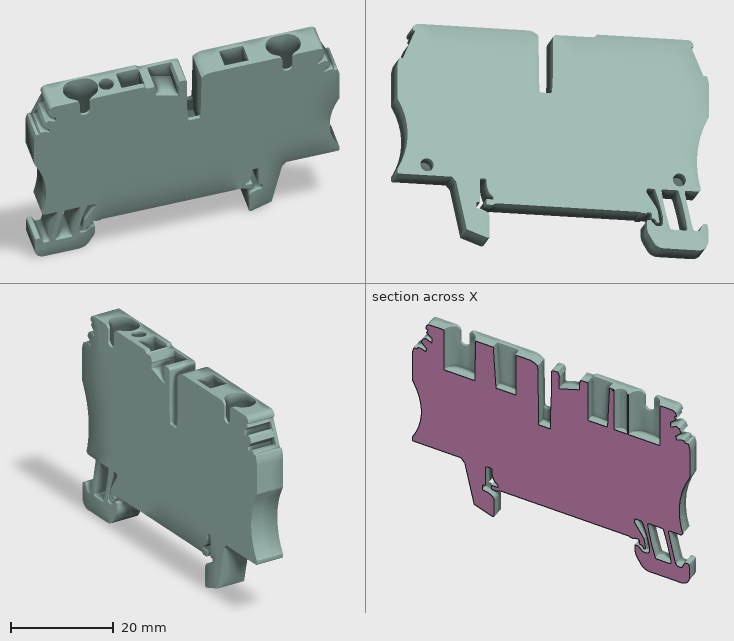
import math

import cadquery as cq

WIDTH = 6.1
HALF_LENGTH = 61.99 / 2
TOP_Z = 42.6
LEDGE_Z = 42.0
BODY_BOTTOM_Z = 11.95
RAIL_Z = 7.1
SPRING_BASE_Z = 3.9
MID_X = WIDTH / 2

FIXED_TOE_Y = 12.65
FIXED_ARM_Y = 14.55
FIXED_CATCH_Y = 15.3
SPRUNG_TOE_Y = 18.65
SPRUNG_HEEL_Y = 30.85

LIP_Y = 28.0
LIP_Z = 41.15
SLOPE_TOP = (27.5, 41.05)
SLOPE_FOOT = (29.95, 35.35)
SHOULDER_Z = 35.5
END_TOP_Z = 34.1
END_FOOT_Z = 27.2

RECESS_X = 0.75
UPPER_RECESS = {
    "top": 40.36,
    "bottom": 38.5,
    "back": [(27.1, 39.65), (26.6, 39.35), (26.6, 38.25), (28.0, 38.85), (28.3, 38.6)],
}
LOWER_RECESS = {
    "top": 37.5,
    "bottom": 35.95,
    "back": [(28.3, 36.8), (27.8, 36.25), (27.95, 35.55), (28.9, 35.9)],
}

SLOT_FLOOR_Z = 30.15
SLOT_FLOOR_Y = (0.25, 2.75)
SLOT_FLOOR_RADIUS = 0.4
SLOT_PIT_X = (0.95, 5.35)
SLOT_PIT_DEPTH = 3.0

MARKER_X = 0.75

FUNNEL_YS = (20.42, -20.7)
FUNNEL_LENGTH = 6.95
FUNNEL_WIDTH = 5.1
FUNNEL_DEPTH = 10.0
NOTCH_WIDTH = 2.1
NOTCH_MOUTH_RADIUS = 1.0
NOTCH_FLOOR_RADIUS = 1.0
NOTCH_DEPTH = 4.2
NOTCH_X = 5.3

POCKET_X = (1.1, 5.05)
POCKET_DEPTH = 10.0
REAR_POCKET = {"inner": 7.95, "outer": 12.85, "outer_floor": 12.25}
FRONT_POCKET = {"inner": -8.25, "outer": -12.95, "outer_floor": -12.5}

TEST_HOLE_Y = -15.5
TEST_HOLE_DIAMETER = 2.9
TEST_HOLE_CHAMFER = 0.2
TEST_HOLE_DEPTH = 10.0
SIDE_HOLE_Y = 25.1
SIDE_HOLE_Z = 14.07
SIDE_HOLE_DIAMETER = 2.6
SIDE_HOLE_DEPTH = 3.0


def rounded_profile(corners):
    """Closed YZ outline from (y, z) or (y, z, radius) corners.

    A radius replaces its corner with an arc tangent to both neighbouring sides.
    """
    outline = None
    count = len(corners)
    for i in range(count):
        y, z = corners[i][:2]
        radius = corners[i][2] if len(corners[i]) == 3 else 0
        if radius == 0:
            stops = [(y, z)]
        else:
            before = cq.Vector(*corners[i - 1][:2]) - cq.Vector(y, z)
            after = cq.Vector(*corners[(i + 1) % count][:2]) - cq.Vector(y, z)
            half_angle = before.getAngle(after) / 2
            tangent_length = radius / math.tan(half_angle)
            bisector = (before.normalized() + after.normalized()).normalized()
            start = cq.Vector(y, z) + before.normalized() * tangent_length
            middle = cq.Vector(y, z) + bisector * (radius / math.sin(half_angle) - radius)
            end = cq.Vector(y, z) + after.normalized() * tangent_length
            stops = [(point.x, point.y) for point in (start, middle, end)]
        if outline is None:
            outline = cq.Workplane("YZ").moveTo(*stops[0])
        else:
            outline = outline.lineTo(*stops[0])
        if radius:
            outline = outline.threePointArc(stops[1], stops[2])
    return outline.close()


def prism(corners, x_start=0.0, x_end=WIDTH):
    """Solid between two X positions with the given YZ outline."""
    return rounded_profile(corners).extrude(x_end - x_start).translate((x_start, 0, 0))


def end_corner(side):
    """Corners from the top face down to the end face; side is +1 or -1 in Y."""
    return [
        (side * 27.72, TOP_Z, 1.1),
        (side * LIP_Y, LIP_Z, 0.25),
        (side * SLOPE_TOP[0], LIP_Z),
        (side * SLOPE_TOP[0], SLOPE_TOP[1]),
        (side * SLOPE_FOOT[0], SLOPE_FOOT[1]),
        (side * 30.1, SHOULDER_Z),
        (side * 30.6, SHOULDER_Z, 0.2),
        (side * HALF_LENGTH, END_TOP_Z, 4.0),
        (side * HALF_LENGTH, END_FOOT_Z, 1.0),
    ]


def housing():
    """Full-width body with the fixed foot (+Y) and the sprung foot (-Y)."""
    top_and_slot = [
        (-8.65, TOP_Z),
        (-8.2, LEDGE_Z, 0.8),
        (0.0, LEDGE_Z, 0.6),
        (0.05, 34.0),
        (SLOT_FLOOR_Y[0], SLOT_FLOOR_Z, SLOT_FLOOR_RADIUS),
        (SLOT_FLOOR_Y[1], SLOT_FLOOR_Z, SLOT_FLOOR_RADIUS),
        (2.95, 41.65),
        (3.85, TOP_Z, 2.8),
    ]
    rear_wing = [
        (26.95, 19.95, 13.6),
        (HALF_LENGTH, 12.9),
        (HALF_LENGTH, BODY_BOTTOM_Z, 0.3),
    ]
    fixed_foot = [
        (20.1, BODY_BOTTOM_Z),
        (19.3, 11.0),
        (17.2, 1.45),
        (13.1, 0.0),
        (FIXED_TOE_Y, 0.1),
        (FIXED_TOE_Y, 5.05, 1.4),
        (14.2, 5.75),
        (FIXED_CATCH_Y, 5.9),
        (FIXED_CATCH_Y, RAIL_Z),
        (FIXED_ARM_Y, RAIL_Z),
        (FIXED_ARM_Y, BODY_BOTTOM_Z, 0.3),
        (13.3, BODY_BOTTOM_Z, 0.3),
        (13.2, 10.4),
        (12.75, 9.1),
        (11.9, 8.3),
        (11.95, 7.85),
        (13.3, 7.85),
        (13.3, 6.75, 0.2),
        (12.1, 6.7),
        (11.4, RAIL_Z),
    ]
    rail_hook = [
        (-17.4, RAIL_Z),
        (-17.5, 6.9),
        (-18.55, 6.9),
        (-18.65, RAIL_Z),
        (-19.6, RAIL_Z, 0.3),
        (-19.6, 5.95),
        (-20.1, 5.95),
        (-20.5, 5.55),
        (-20.5, 5.2),
        (-21.15, 5.2),
        (-20.75, 7.75),
        (-20.5, 8.2),
        (-18.6, 11.1, 0.3),
        (-18.6, BODY_BOTTOM_Z, 0.3),
    ]
    sprung_foot = [
        (-20.2, BODY_BOTTOM_Z, 0.4),
        (-21.25, 9.0, 28.0),
        (-21.85, 6.2),
        (-21.85, 4.5, 0.7),
        (-20.4, 4.5, 0.5),
        (-19.4, 5.57, 0.2),
        (-SPRUNG_TOE_Y, 5.57, 0.2),
        (-SPRUNG_TOE_Y, 3.3, 3.0),
        (-20.65, 0.0, 2.4),
        (-SPRUNG_HEEL_Y, 0.0, 2.0),
        (-SPRUNG_HEEL_Y, 4.3),
        (-30.75, 5.45, 0.45),
        (-29.8, 5.45, 0.4),
        (-29.1, SPRING_BASE_Z, 0.5),
        (-27.9, SPRING_BASE_Z, 0.6),
        (-26.9, 7.9, 130.0),
        (-26.1, BODY_BOTTOM_Z, 0.3),
    ]
    front_wing = [
        (-28.95, BODY_BOTTOM_Z),
        (-29.4, 12.45),
        (-28.85, 14.3, 18.5),
        (-28.15, 21.95, 18.6),
    ]
    outline = (
        end_corner(-1)
        + front_wing[::-1]
        + sprung_foot[::-1]
        + rail_hook[::-1]
        + fixed_foot[::-1]
        + rear_wing[::-1]
        + end_corner(1)[::-1]
        + top_and_slot[::-1]
    )
    return prism(outline)


def foot_window():
    """Opening between the two spring arms of the sprung foot."""
    return prism([
        (-21.5, BODY_BOTTOM_Z, 0.3),
        (-24.9, BODY_BOTTOM_Z, 0.4),
        (-25.9, 8.5, 50.0),
        (-26.75, SPRING_BASE_Z, 0.4),
        (-23.3, SPRING_BASE_Z, 0.4),
        (-22.0, 8.7, 40.0),
    ])


def slope_y(z):
    """Distance of the end slope from Y = 0 at height z."""
    fraction = (SLOPE_TOP[1] - z) / (SLOPE_TOP[1] - SLOPE_FOOT[1])
    return SLOPE_TOP[0] + fraction * (SLOPE_FOOT[0] - SLOPE_TOP[0])


def slope_recess(recess, side):
    """Notch in one end slope, leaving a wall at the closed side."""
    overshoot = 1.0
    top = recess["top"]
    bottom = recess["bottom"]
    corners = [(slope_y(top), top)] + recess["back"] + [
        (slope_y(bottom), bottom),
        (slope_y(bottom) + overshoot, bottom),
        (slope_y(top) + overshoot, top),
    ]
    return prism([(side * y, z) for y, z in corners], RECESS_X)


def marker_recess():
    """Snap-in seat for a marker: lips on both walls and a leaning floor."""
    return prism([
        (-1.55, LEDGE_Z),
        (-1.95, 40.9),
        (-1.75, 40.6),
        (-1.75, 38.0),
        (-6.3, 39.5),
        (-6.3, 40.6),
        (-6.2, 40.9),
        (-6.55, LEDGE_Z),
    ], MARKER_X)


def slot_pit():
    """Deeper middle part of the central slot."""
    near, far = SLOT_FLOOR_Y
    top = SLOT_FLOOR_Z + SLOT_FLOOR_RADIUS
    bottom = SLOT_FLOOR_Z - SLOT_PIT_DEPTH
    return prism([(near, top), (far, top), (far, bottom), (near, bottom)], *SLOT_PIT_X)


def wire_funnel(y):
    """Oblong entry hole with a round-mouthed notch through the +X wall."""
    hole = (
        cq.Workplane("XY", origin=(MID_X, y, TOP_Z))
        .slot2D(FUNNEL_LENGTH, FUNNEL_WIDTH, 90)
        .extrude(-FUNNEL_DEPTH)
    )
    half = NOTCH_WIDTH / 2
    floor_z = TOP_Z - NOTCH_DEPTH
    above = TOP_Z + NOTCH_MOUTH_RADIUS
    outside = half + 2 * NOTCH_MOUTH_RADIUS
    notch = prism([
        (y - outside, above),
        (y - outside, TOP_Z),
        (y - half, TOP_Z, NOTCH_MOUTH_RADIUS),
        (y - half, floor_z, NOTCH_FLOOR_RADIUS),
        (y + half, floor_z, NOTCH_FLOOR_RADIUS),
        (y + half, TOP_Z, NOTCH_MOUTH_RADIUS),
        (y + outside, TOP_Z),
        (y + outside, above),
    ], NOTCH_X)
    return hole.union(notch)


def screwdriver_pocket(pocket):
    """Rectangular pocket from the top with one leaning wall."""
    floor_z = TOP_Z - POCKET_DEPTH
    return prism([
        (pocket["inner"], TOP_Z),
        (pocket["outer"], TOP_Z),
        (pocket["outer_floor"], floor_z),
        (pocket["inner"], floor_z),
    ], *POCKET_X)


def test_hole():
    """Round hole from the top with a small chamfer."""
    top = cq.Workplane("XY", origin=(MID_X, TEST_HOLE_Y, TOP_Z))
    hole = top.circle(TEST_HOLE_DIAMETER / 2).extrude(-TEST_HOLE_DEPTH)
    chamfer = (
        top.circle(TEST_HOLE_DIAMETER / 2 + TEST_HOLE_CHAMFER)
        .extrude(-TEST_HOLE_CHAMFER, taper=45)
    )
    return hole.union(chamfer)


def side_holes():
    """Two blind holes in the closed side face."""
    return (
        cq.Workplane("YZ")
        .pushPoints([(-SIDE_HOLE_Y, SIDE_HOLE_Z), (SIDE_HOLE_Y, SIDE_HOLE_Z)])
        .circle(SIDE_HOLE_DIAMETER / 2)
        .extrude(SIDE_HOLE_DEPTH)
    )


result = housing().cut(foot_window())
for end in (-1, 1):
    for recess_shape in (UPPER_RECESS, LOWER_RECESS):
        result = result.cut(slope_recess(recess_shape, end))
result = result.cut(marker_recess()).cut(slot_pit())
for funnel_y in FUNNEL_YS:
    result = result.cut(wire_funnel(funnel_y))
for pocket_shape in (REAR_POCKET, FRONT_POCKET):
    result = result.cut(screwdriver_pocket(pocket_shape))
result = result.cut(test_hole()).cut(side_holes())